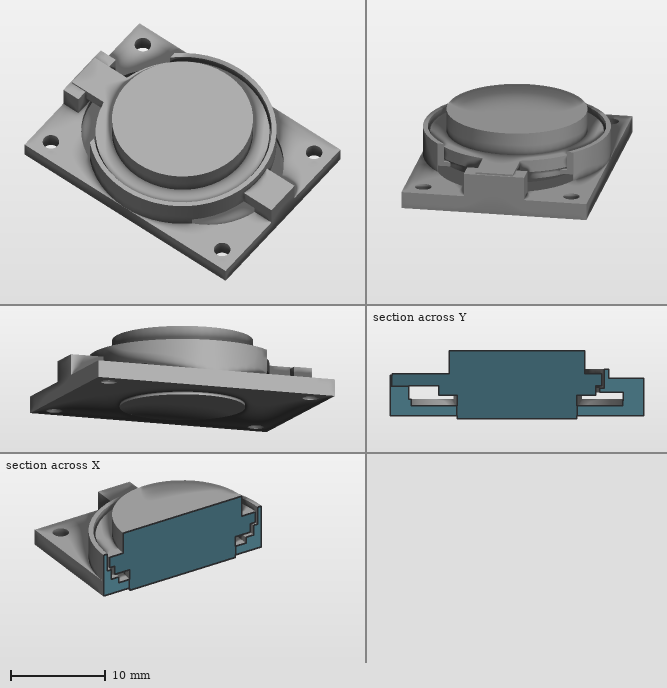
import cadquery as cq


PLATE_LENGTH = 27.0
PLATE_WIDTH = 20.0
PLATE_THICKNESS = 1.8
MOUNT_HOLE_DIAMETER = 1.75
MOUNT_HOLE_INSET = 2.0

COLLAR_OUTER_DIAMETER = PLATE_WIDTH
COLLAR_WALL = 0.5
COLLAR_HEIGHT = 3.2
COLLAR_END_X = -6.78
LIP_INNER_DIAMETER = 18.0
LIP_TOP = 1.15

SLOT_WIDTH = 16.0
SLOT_CENTER_DISTANCE = 7.0
SLOT_LENGTH = SLOT_CENTER_DISTANCE + SLOT_WIDTH
SLOT_TOP = 0.7
SLOT_DEPTH = 0.7

REST_LENGTH = 2.02
REST_WIDTH = 6.5
REST_HEIGHT = 2.55
STOP_WIDTH = 4.02
STOP_HEIGHT = 2.25

CAP_DIAMETER = 15.0
CAP_TOP = 5.15
FLANGE_DIAMETER = 18.5
FLANGE_BOTTOM = 1.4
FLANGE_TOP = 2.73
STEP_DIAMETER = 17.25
STEP_BOTTOM = 0.4
STEM_DIAMETER = 13.36
STEM_PROTRUSION = 0.3
TONGUE_WIDTH = STOP_WIDTH
TONGUE_END_GAP = 0.2


def disc(diameter, bottom, top):
    """Solid disc on the Z axis between two heights."""
    return cq.Workplane("XY").workplane(offset=bottom).circle(diameter / 2).extrude(top - bottom)


def block(x_min, x_max, width, bottom, top):
    """Box centred on the X axis between two X positions and two heights."""
    return (
        cq.Workplane("XY")
        .box(x_max - x_min, width, top - bottom, centered=(False, True, False))
        .translate((x_min, 0, bottom))
    )


def make_plate():
    """Rectangular plate with a mounting hole near each corner."""
    plate = block(-PLATE_LENGTH / 2, PLATE_LENGTH / 2, PLATE_WIDTH, -PLATE_THICKNESS, 0)
    return (
        plate.faces(">Z")
        .workplane(origin=(0, 0, 0))
        .rect(PLATE_LENGTH - 2 * MOUNT_HOLE_INSET, PLATE_WIDTH - 2 * MOUNT_HOLE_INSET, forConstruction=True)
        .vertices()
        .hole(MOUNT_HOLE_DIAMETER)
    )


def collar_bore():
    """Space inside the collar, narrower at the lip."""
    bore = disc(COLLAR_OUTER_DIAMETER - 2 * COLLAR_WALL, LIP_TOP, COLLAR_HEIGHT)
    return bore.union(disc(LIP_INNER_DIAMETER, 0, LIP_TOP))


def make_collar_and_stop():
    """Open collar joined to the stop block on its +X side."""
    collar = disc(COLLAR_OUTER_DIAMETER, 0, COLLAR_HEIGHT)
    open_side = block(-PLATE_LENGTH / 2, COLLAR_END_X, PLATE_WIDTH, 0, COLLAR_HEIGHT)
    stop = block(0, PLATE_LENGTH / 2, STOP_WIDTH, 0, STOP_HEIGHT)
    return collar.cut(open_side).union(stop).cut(collar_bore())


def clearance_slot():
    """Obround cut running from below the plate surface to under the collar lip."""
    return (
        cq.Workplane("XY")
        .workplane(offset=-SLOT_DEPTH)
        .slot2D(SLOT_LENGTH, SLOT_WIDTH)
        .extrude(SLOT_DEPTH + SLOT_TOP)
    )


def make_tongue():
    """Flat arm reaching from the button flange to the rest block."""
    tongue_end = -PLATE_LENGTH / 2 + TONGUE_END_GAP
    return block(tongue_end, 0, TONGUE_WIDTH, FLANGE_BOTTOM, FLANGE_TOP)


def make_base():
    """Plate, collar, stop and rest, cleared for the button."""
    rest_inner_x = -PLATE_LENGTH / 2 + REST_LENGTH
    rest = block(-PLATE_LENGTH / 2, rest_inner_x, REST_WIDTH, 0, REST_HEIGHT)
    stem_hole = disc(STEM_DIAMETER, -PLATE_THICKNESS, 0)
    base = make_plate().union(make_collar_and_stop()).cut(clearance_slot()).cut(stem_hole)
    return base.union(rest).cut(make_tongue())


def make_button():
    """Stepped round button with a stem through the plate and a side tongue."""
    return (
        disc(STEM_DIAMETER, -PLATE_THICKNESS - STEM_PROTRUSION, STEP_BOTTOM)
        .union(disc(STEP_DIAMETER, STEP_BOTTOM, FLANGE_BOTTOM))
        .union(disc(FLANGE_DIAMETER, FLANGE_BOTTOM, FLANGE_TOP))
        .union(disc(CAP_DIAMETER, FLANGE_TOP, CAP_TOP))
        .union(make_tongue())
    )


base = make_base()
button = make_button()

result = cq.Compound.makeCompound([base.val(), button.val()])